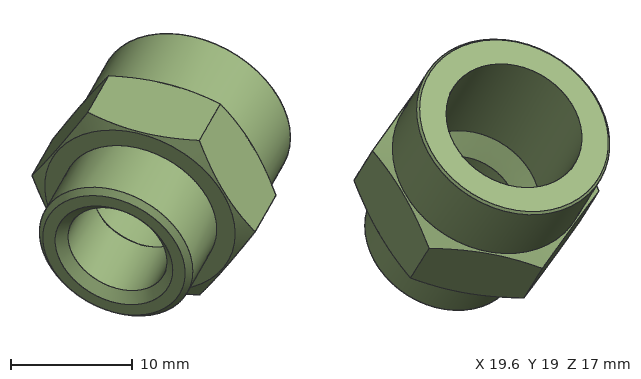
import cadquery as cq
import math

corner_width = 19.63
hex_length = 6.5
hex_bevel_angle = 30.0

narrow_diameter = 13.5
narrow_length = 6.0
narrow_chamfer = 0.5
wide_diameter = 16.75
wide_length = 6.5
wide_chamfer = 0.2

bore_diameter = 8.7
countersink_diameter = 10.35
countersink_depth = (countersink_diameter - bore_diameter) / 2
socket_diameter = 11.78
bore_end = 6.6
step_length = (socket_diameter - bore_diameter) / 2

hex_start = narrow_length
hex_end = hex_start + hex_length
total_length = hex_end + wide_length


def revolve_profile(points):
    """Revolve a closed (radius, y) outline about the Y axis."""
    return cq.Workplane("XY").polyline(points).close().revolve(360, (0, 0, 0), (0, 1, 0))


def make_hexagon():
    """Hexagonal prism with its corners bevelled by a cone at each end."""
    prism = (
        cq.Workplane("XZ", origin=(0, hex_start, 0))
        .polygon(6, corner_width)
        .extrude(-hex_length)
    )
    face_radius = wide_diameter / 2
    corner_radius = corner_width / 2
    bevel_length = (corner_radius - face_radius) * math.tan(math.radians(hex_bevel_angle))
    envelope = revolve_profile([
        (0, hex_start),
        (face_radius, hex_start),
        (corner_radius, hex_start + bevel_length),
        (corner_radius, hex_end - bevel_length),
        (face_radius, hex_end),
        (0, hex_end),
    ])
    return prism.intersect(envelope)


def make_round_body():
    """Narrow and wide cylinders with chamfered outer ends."""
    narrow_radius = narrow_diameter / 2
    wide_radius = wide_diameter / 2
    return revolve_profile([
        (0, 0),
        (narrow_radius - narrow_chamfer, 0),
        (narrow_radius, narrow_chamfer),
        (narrow_radius, hex_start),
        (wide_radius, hex_start),
        (wide_radius, total_length - wide_chamfer),
        (wide_radius - wide_chamfer, total_length),
        (0, total_length),
    ])


def make_bore():
    """Through bore, countersunk at the narrow end and opening into the socket."""
    return revolve_profile([
        (0, 0),
        (countersink_diameter / 2, 0),
        (bore_diameter / 2, countersink_depth),
        (bore_diameter / 2, bore_end),
        (socket_diameter / 2, bore_end + step_length),
        (socket_diameter / 2, total_length),
        (0, total_length),
    ])


result = make_round_body().union(make_hexagon()).cut(make_bore())